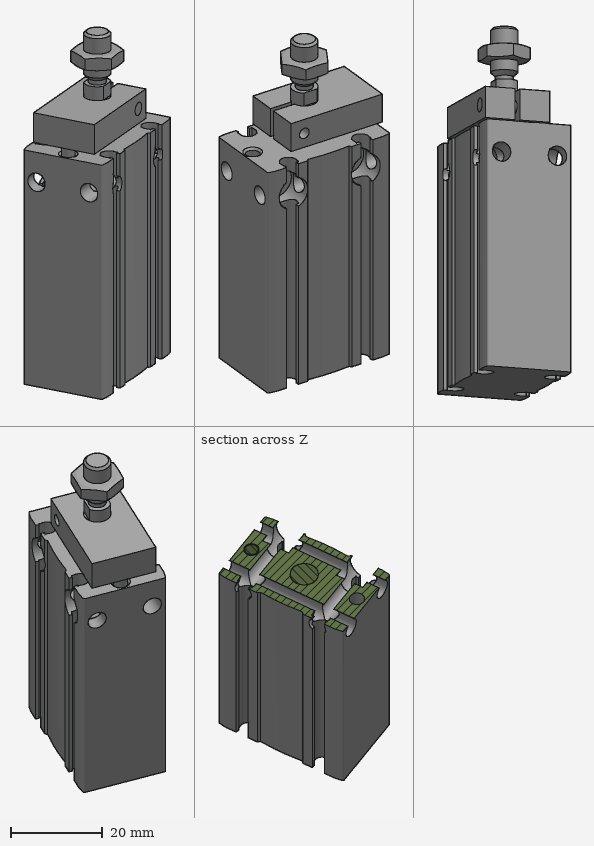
import cadquery as cq
import math

housing_width = 20.0
housing_depth = 32.0
housing_height = 55.0
half_width = housing_width / 2
half_depth = housing_depth / 2

corner_radius = 0.4
corner_taper_start = 13.9
corner_taper = 0.3

groove_radius = 2.0
groove_center_x = 8.0
groove_center_y = 9.5
groove_half_width = 1.9
groove_lip_x = 9.2
groove_inner_lip_y = 8.2
groove_outer_lip_y = 11.05
groove_outer_lip_slant = 0.2

recess_edge_y = 5.85
recess_depth = 0.5
recess_floor_end_y = 4.8
recess_bulge = 0.2

mount_hole_z = housing_height - 7.0
mount_hole_diameter = 4.3
front_hole_x = 6.5
side_hole_y = 9.5
counterbore_diameter = 7.5
counterbore_depth = 6.5

guide_offset_y = 13.5
guide_hole_diameter = 3.2
guide_hole_rim_diameter = 4.3
guide_hole_depth = 10.0

rod_diameter = 6.0
rod_depth_in_housing = 10.0
rod_top_z = 79.0
rod_end_chamfer = 0.55
flats_width = 5.0
shoulder_z = 67.15
neck_diameter = 3.95
neck_top_z = 68.2

nut_across_flats = 10.0
nut_bottom_z = 71.6
nut_height = 3.2
nut_face_diameter = 9.0
nut_corner_drop = 0.355

plate_width = 15.0
plate_back_y = 8.45
plate_front_y = -15.5
plate_height = 6.95
plate_gap = 2.0
plate_bottom_z = housing_height + plate_gap
plate_top_z = plate_bottom_z + plate_height
slit_width = 1.2

screw_y = 5.0
screw_z = plate_bottom_z + plate_height / 2
screw_diameter = 3.0
screw_tip_x = -3.8
screw_tap_diameter = 2.5

guide_rod_diameter = 3.0


def cylinder_z(diameter, bottom_z, top_z, x=0, y=0):
    """Upright cylinder between two heights."""
    return cq.Workplane("XY", origin=(x, y, bottom_z)).circle(diameter / 2).extrude(top_z - bottom_z)


def cylinder_x(diameter, start_x, end_x, y, z):
    """Cylinder along +X between two X positions."""
    return cq.Workplane("YZ", origin=(start_x, y, z)).circle(diameter / 2).extrude(end_x - start_x)


def make_housing_blank():
    """Solid block whose two X sides lean in slightly towards rounded corners."""
    corner_x = half_width - corner_taper
    right_side = [
        (corner_x, half_depth),
        (half_width, corner_taper_start),
        (half_width, -corner_taper_start),
        (corner_x, -half_depth),
    ]
    left_side = [(-x, y) for x, y in reversed(right_side)]
    blank = cq.Workplane("XY").polyline(right_side + left_side).close().extrude(housing_height)
    for end_face in ("<Y", ">Y"):
        blank = blank.faces(end_face).edges("|Z").fillet(corner_radius)
    return blank


def make_groove():
    """Cutter for the groove at +X, +Y."""
    inner_wall_y = groove_center_y - groove_half_width
    outer_wall_y = groove_center_y + groove_half_width
    round_start_x = groove_center_x + math.sqrt(groove_radius**2 - groove_half_width**2)
    return (
        cq.Workplane("XY")
        .moveTo(half_width, groove_inner_lip_y)
        .lineTo(groove_lip_x, groove_inner_lip_y)
        .lineTo(groove_lip_x, inner_wall_y)
        .lineTo(round_start_x, inner_wall_y)
        .threePointArc(
            (groove_center_x - groove_radius, groove_center_y),
            (round_start_x, outer_wall_y),
        )
        .lineTo(groove_lip_x, outer_wall_y)
        .lineTo(groove_lip_x, groove_outer_lip_y)
        .lineTo(half_width, groove_outer_lip_y + groove_outer_lip_slant)
        .close()
        .extrude(housing_height)
    )


def make_side_recess():
    """Cutter for the shallow recess in the +X side."""
    floor_x = half_width - recess_depth
    floor_start_y = recess_edge_y - recess_depth
    return (
        cq.Workplane("XY")
        .moveTo(half_width, recess_edge_y)
        .lineTo(floor_x, floor_start_y)
        .lineTo(floor_x, recess_floor_end_y)
        .threePointArc((floor_x + recess_bulge, 0), (floor_x, -recess_floor_end_y))
        .lineTo(floor_x, -floor_start_y)
        .lineTo(half_width, -recess_edge_y)
        .close()
        .extrude(housing_height)
    )


def make_mounting_holes():
    """Through holes along Y and counterbored through holes along X."""
    holes = (
        cq.Workplane("XZ", origin=(0, half_depth, mount_hole_z))
        .pushPoints([(-front_hole_x, 0), (front_hole_x, 0)])
        .circle(mount_hole_diameter / 2)
        .extrude(housing_depth)
    )
    for y in (-side_hole_y, side_hole_y):
        holes = holes.union(cylinder_x(mount_hole_diameter, -half_width, half_width, y, mount_hole_z))
        floor_x = -half_width + counterbore_depth
        holes = holes.union(cylinder_x(counterbore_diameter, -half_width, floor_x, y, mount_hole_z))
    return holes


def make_guide_hole(y):
    """Blind hole in the top face with a countersunk rim."""
    bore_radius = guide_hole_diameter / 2
    rim_radius = guide_hole_rim_diameter / 2
    floor_z = housing_height - guide_hole_depth
    profile = [
        (0, floor_z),
        (bore_radius, floor_z),
        (bore_radius, housing_height - (rim_radius - bore_radius)),
        (rim_radius, housing_height),
        (0, housing_height),
    ]
    hole = cq.Workplane("XZ").polyline(profile).close().revolve(360, (0, 0), (0, 1))
    return hole.translate((0, y, 0))


def make_housing():
    body = make_housing_blank()
    groove = make_groove()
    recess = make_side_recess()
    for groove_copy in (groove, groove.mirror("XZ")):
        body = body.cut(groove_copy).cut(groove_copy.mirror("YZ"))
    body = body.cut(recess).cut(recess.mirror("YZ"))
    body = body.cut(make_mounting_holes())
    for y in (-guide_offset_y, guide_offset_y):
        body = body.cut(make_guide_hole(y))
    return body.cut(cylinder_z(rod_diameter, housing_height - rod_depth_in_housing, housing_height))


def make_rod():
    """Turned rod with a necked thread end and two wrench flats facing X."""
    radius = rod_diameter / 2
    neck_radius = neck_diameter / 2
    profile = [
        (0, housing_height - rod_depth_in_housing),
        (radius, housing_height - rod_depth_in_housing),
        (radius, shoulder_z),
        (neck_radius, shoulder_z),
        (neck_radius, neck_top_z),
        (radius, neck_top_z + radius - neck_radius),
        (radius, rod_top_z - rod_end_chamfer),
        (radius - rod_end_chamfer, rod_top_z),
        (0, rod_top_z),
    ]
    rod = cq.Workplane("XZ").polyline(profile).close().revolve(360, (0, 0), (0, 1))
    stock = cylinder_z(rod_diameter, plate_top_z, shoulder_z)
    kept = (
        cq.Workplane("XY", origin=(0, 0, plate_top_z))
        .rect(flats_width, rod_diameter)
        .extrude(shoulder_z - plate_top_z)
    )
    return rod.cut(stock.cut(kept))


def make_nut():
    """Hexagon nut with flats facing X and its corners turned down on both faces."""
    hexagon_radius = nut_across_flats / math.sqrt(3)
    hexagon = (
        cq.Workplane("XY", origin=(0, 0, nut_bottom_z))
        .polygon(6, 2 * hexagon_radius)
        .extrude(nut_height)
        .rotate((0, 0, 0), (0, 0, 1), 30)
    )
    nut_top_z = nut_bottom_z + nut_height
    envelope_profile = [
        (rod_diameter / 2, nut_bottom_z),
        (nut_face_diameter / 2, nut_bottom_z),
        (hexagon_radius, nut_bottom_z + nut_corner_drop),
        (hexagon_radius, nut_top_z - nut_corner_drop),
        (nut_face_diameter / 2, nut_top_z),
        (rod_diameter / 2, nut_top_z),
    ]
    envelope = cq.Workplane("XZ").polyline(envelope_profile).close().revolve(360, (0, 0), (0, 1))
    return hexagon.intersect(envelope)


def make_plate():
    """Block clamped around the rod, slit from the rod bore to its +Y face."""
    half_plate = plate_width / 2
    block = (
        cq.Workplane("XY", origin=(0, (plate_back_y + plate_front_y) / 2, plate_bottom_z))
        .rect(plate_width, plate_back_y - plate_front_y)
        .extrude(plate_height)
    )
    rod_bore = cylinder_z(rod_diameter, plate_bottom_z, plate_top_z)
    slit = (
        cq.Workplane("XY", origin=(0, plate_back_y / 2, plate_bottom_z))
        .rect(slit_width, plate_back_y)
        .extrude(plate_height)
    )
    tap_hole = cylinder_x(screw_tap_diameter, -half_plate, screw_tip_x, screw_y, screw_z)
    screw_hole = cylinder_x(screw_diameter, screw_tip_x, half_plate, screw_y, screw_z)
    return block.cut(rod_bore).cut(slit).cut(tap_hole).cut(screw_hole)


def make_clamp_screw():
    """Headless screw, flush with the +X face of the plate."""
    return cylinder_x(screw_diameter, screw_tip_x, plate_width / 2, screw_y, screw_z)


def make_guide_rod():
    """Rod from the floor of the -Y guide hole up to the underside of the plate."""
    guide_bottom_z = housing_height - guide_hole_depth
    return cylinder_z(guide_rod_diameter, guide_bottom_z, plate_bottom_z, y=-guide_offset_y)


housing = make_housing()
rod = make_rod()
nut = make_nut()
plate = make_plate()
clamp_screw = make_clamp_screw()
guide_rod = make_guide_rod()

result = cq.Compound.makeCompound(
    [housing.val(), rod.val(), nut.val(), plate.val(), clamp_screw.val(), guide_rod.val()]
)